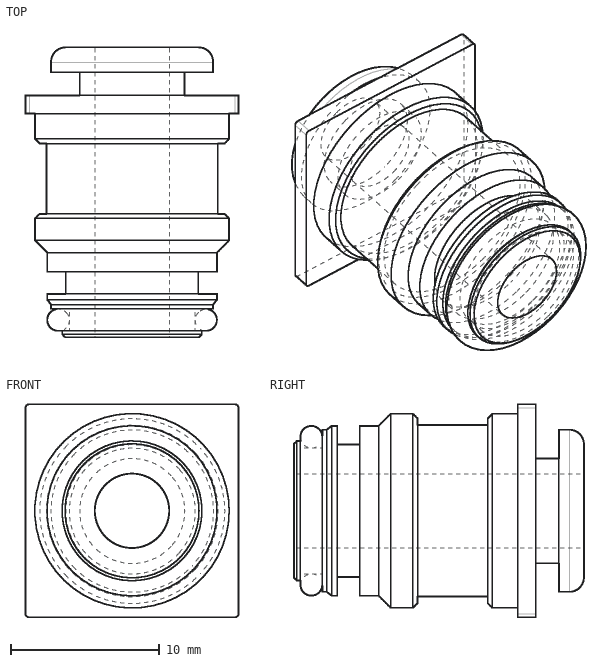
import cadquery as cq

total_length = 19.58
bore_radius = 2.5

plate_side = 14.4
plate_front = 15.1
plate_back = 16.33
plate_corner_radius = 0.25

collar_radius = 6.55
collar_chamfer = 0.31
barrel_radius = 5.8
rear_collar_front = 13.08
front_collar_back = 8.35
front_collar_taper_back = 6.54

spigot_radius = 5.74
spigot_taper_front = front_collar_taper_back - (collar_radius - spigot_radius)
neck_radius = 4.48
neck_back = 4.43
neck_front = 2.94

rim_front = 2.55
land_radius = 5.48
land_back = 2.21

seal_section_radius = 0.75
seal_center_y = 1.17
seal_center_radius = spigot_radius - seal_section_radius
gland_radius = seal_center_radius - seal_section_radius
gland_front = seal_center_y - seal_section_radius
gland_back = seal_center_y + seal_section_radius

lip_radius = 4.72
lip_chamfer = 0.2

button_neck_radius = 3.55
button_head_radius = 5.48
button_head_front = 17.88
button_edge_radius = 1.0


def revolve_about_y(profile):
    """Revolve a closed (radius, Y) profile fully about the Y axis."""
    return profile.revolve(360, (0, 0, 0), (0, 1, 0))


def make_barrel():
    """Turned part of the housing, from the front lip to the plate."""
    outline = [
        (bore_radius, 0),
        (lip_radius - lip_chamfer, 0),
        (lip_radius, lip_chamfer),
        (lip_radius, gland_front),
        (gland_radius, gland_front),
        (gland_radius, gland_back),
        (land_radius, gland_back),
        (land_radius, land_back),
        (spigot_radius, rim_front),
        (spigot_radius, neck_front),
        (neck_radius, neck_front),
        (neck_radius, neck_back),
        (spigot_radius, neck_back),
        (spigot_radius, spigot_taper_front),
        (collar_radius, front_collar_taper_back),
        (collar_radius, front_collar_back - collar_chamfer),
        (collar_radius - collar_chamfer, front_collar_back),
        (barrel_radius, front_collar_back),
        (barrel_radius, rear_collar_front),
        (collar_radius - collar_chamfer, rear_collar_front),
        (collar_radius, rear_collar_front + collar_chamfer),
        (collar_radius, plate_front),
        (bore_radius, plate_front),
    ]
    return revolve_about_y(cq.Workplane("XY").polyline(outline).close())


def make_plate():
    """Square flange plate with rounded corners and the through bore."""
    return (
        cq.Workplane("XZ", origin=(0, plate_back, 0))
        .rect(plate_side, plate_side)
        .extrude(plate_back - plate_front)
        .edges("|Y")
        .fillet(plate_corner_radius)
        .faces("<Y")
        .workplane()
        .hole(2 * bore_radius)
    )


def make_housing():
    """Barrel and flange plate as one solid."""
    return make_barrel().union(make_plate()).solids()


def make_seal_ring():
    """Round-section seal ring seated in the gland."""
    section = cq.Workplane("XY").center(seal_center_radius, seal_center_y).circle(seal_section_radius)
    return section.revolve(360, (-seal_center_radius, 0, 0), (-seal_center_radius, 1, 0))


def make_release_button():
    """Bored button with a rounded head, its neck resting on the back of the plate."""
    profile = (
        cq.Workplane("XY")
        .moveTo(bore_radius, plate_back)
        .lineTo(button_neck_radius, plate_back)
        .lineTo(button_neck_radius, button_head_front)
        .lineTo(button_head_radius, button_head_front)
        .lineTo(button_head_radius, total_length - button_edge_radius)
        .radiusArc((button_head_radius - button_edge_radius, total_length), -button_edge_radius)
        .lineTo(bore_radius, total_length)
        .close()
    )
    return revolve_about_y(profile)


housing = make_housing()
seal_ring = make_seal_ring()
release_button = make_release_button()

result = cq.Compound.makeCompound([housing.val(), seal_ring.val(), release_button.val()])